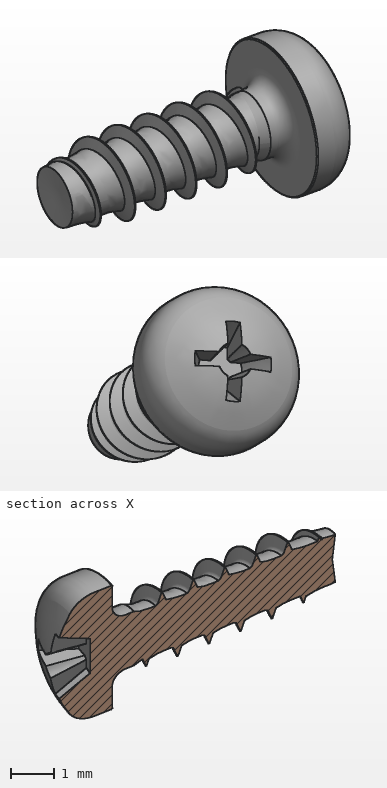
import cadquery as cq
import math


head_diameter = 3.9
head_radius = head_diameter / 2
head_edge_chamfer = 0.03
head_side_height = 0.5
shoulder_radius = 1.58
shoulder_height = 1.15
dome_radius = 3.03

wing_width = 0.35
wing_reach = 0.955
wing_draft = 26.5
core_mouth_radius = 0.425
core_floor_radius = 0.3
recess_floor_height = 0.605

neck_radius = 0.855
neck_fillet = 0.36
neck_length = 0.57

shank_length = 6.0
root_diameter = 1.52
root_radius = root_diameter / 2
thread_radius = 1.105
thread_pitch = 0.85
full_thread_start = 1.33
full_thread_turns = 4
lead_slope = 0.22
fade_slope = 0.28
neck_runout_length = 0.265

crest_half_width = 0.015
flank_slope = 0.34
head_foot_radius = 0.86
head_foot_middle = (0.79, -0.14)
head_foot_end = -0.19
ramp_start = (0.83, 0.075)
ramp_middle = (0.78, 0.33)
ramp_end = 0.62
root_overlap = 0.004
rib_base_radius = 0.605
spare_turns = 0.25

tip_radius = 0.75
tip_cone_start = 5.3
tip_cone_radius = 0.84
dimple_radius = 0.71
dimple_depth = 0.075


def dome_height(radius):
    """Height of the crown surface at a distance from the axis."""
    centre = shoulder_height - math.sqrt(dome_radius**2 - shoulder_radius**2)
    return centre + math.sqrt(dome_radius**2 - radius**2)


def revolve_about_y(outline):
    return outline.close().revolve(360, (0, 0, 0), (0, 1, 0))


def make_head():
    outline = (
        cq.Workplane("XY")
        .lineTo(head_radius - head_edge_chamfer, 0)
        .lineTo(head_radius, head_edge_chamfer)
        .lineTo(head_radius, head_side_height)
        .tangentArcPoint((shoulder_radius, shoulder_height), relative=False)
        .threePointArc(
            (shoulder_radius / 2, dome_height(shoulder_radius / 2)),
            (0, dome_height(0)),
        )
    )
    return revolve_about_y(outline)


def make_recess():
    apex = dome_height(0)
    wing_slope = math.tan(math.radians(wing_draft))
    wing_top_reach = wing_reach + (apex - dome_height(wing_reach)) * wing_slope
    wing_floor_reach = wing_top_reach - (apex - recess_floor_height) * wing_slope
    wing_limit = revolve_about_y(
        cq.Workplane("XY")
        .moveTo(0, recess_floor_height)
        .lineTo(wing_floor_reach, recess_floor_height)
        .lineTo(wing_top_reach, apex)
        .lineTo(0, apex)
    )
    bars = (
        cq.Workplane("XY")
        .box(2 * head_radius, 2 * apex, wing_width)
        .union(cq.Workplane("XY").box(wing_width, 2 * apex, 2 * head_radius))
    )
    core = revolve_about_y(
        cq.Workplane("XY")
        .moveTo(0, recess_floor_height)
        .lineTo(core_floor_radius, recess_floor_height)
        .lineTo(core_mouth_radius, dome_height(core_mouth_radius))
        .lineTo(core_mouth_radius, apex)
        .lineTo(0, apex)
    )
    return bars.intersect(wing_limit).union(core)


def make_neck():
    diagonal = neck_fillet * (1 - math.sqrt(0.5))
    outline = (
        cq.Workplane("XY")
        .lineTo(neck_radius + neck_fillet, 0)
        .threePointArc(
            (neck_radius + diagonal, -diagonal),
            (neck_radius, -neck_fillet),
        )
        .lineTo(neck_radius, -neck_length)
        .lineTo(root_radius - root_overlap, -neck_length - neck_runout_length)
        .lineTo(0, -neck_length - neck_runout_length)
    )
    return revolve_about_y(outline)


def straight_helix(turns):
    """Right-handed helix about Z that starts on the +X side."""
    return cq.Wire.makeHelix(thread_pitch, turns * thread_pitch, thread_radius)


def shrinking_helix(turns, slope):
    """The same helix, drawn in toward the axis by a slope per unit of height."""
    cone_angle = math.atan(slope)
    return cq.Wire.makeHelix(
        thread_pitch / math.cos(cone_angle),
        turns * thread_pitch,
        thread_radius,
        angle=-math.degrees(cone_angle),
    )


def sweep_rib(section, path, start):
    """Sweep a section along a helix about Z, then lay it along the shank with its start on +Z."""
    rib = section.sweep(cq.Workplane("XY").add(path), isFrenet=True)
    return (
        rib.rotate((0, 0, 0), (0, 0, 1), 90)
        .translate((0, 0, start))
        .rotate((0, 0, 0), (1, 0, 0), 90)
    )


def crest_section():
    foot = crest_half_width + flank_slope * (thread_radius - head_foot_radius)
    base = crest_half_width + flank_slope * (thread_radius - rib_base_radius)
    return (
        cq.Workplane("XZ")
        .moveTo(rib_base_radius, head_foot_end)
        .lineTo(root_radius - root_overlap, head_foot_end)
        .threePointArc(head_foot_middle, (head_foot_radius, -foot))
        .lineTo(thread_radius, -crest_half_width)
        .lineTo(thread_radius, crest_half_width)
        .lineTo(rib_base_radius, base)
        .close()
    )


def ramp_section():
    return (
        cq.Workplane("XZ")
        .moveTo(rib_base_radius, ramp_start[1])
        .lineTo(*ramp_start)
        .threePointArc(ramp_middle, (root_radius - root_overlap, ramp_end))
        .lineTo(rib_base_radius, ramp_end)
        .close()
    )


def make_root():
    """Shank core with the helical ramp, trimmed by a cone at the tip."""
    first_crest = full_thread_start - 2 * thread_pitch
    ramp_turns = (shank_length - first_crest) / thread_pitch + spare_turns
    ramp = sweep_rib(ramp_section(), straight_helix(ramp_turns), first_crest)
    overrun = shank_length / 2
    core = (
        cq.Workplane("XZ", origin=(0, overrun, 0))
        .circle(root_radius)
        .extrude(shank_length + 2 * overrun)
    )
    cone_slope = (tip_cone_radius - tip_radius) / (shank_length - tip_cone_start)
    limit_radius = 2 * root_radius
    limit_start = shank_length - (limit_radius - tip_radius) / cone_slope
    limit = revolve_about_y(
        cq.Workplane("XY")
        .lineTo(limit_radius, 0)
        .lineTo(limit_radius, -limit_start)
        .lineTo(tip_radius, -shank_length)
        .lineTo(0, -shank_length)
    )
    return core.union(ramp, clean=False).intersect(limit, clean=False)


def make_shank():
    full_thread_end = full_thread_start + full_thread_turns * thread_pitch
    full = sweep_rib(crest_section(), straight_helix(full_thread_turns), full_thread_start)

    fade_turns = (shank_length - full_thread_end) / thread_pitch + spare_turns
    fade = sweep_rib(crest_section(), shrinking_helix(fade_turns, fade_slope), full_thread_end)

    lead_turns = (full_thread_start - neck_length) / thread_pitch + spare_turns
    lead_path = shrinking_helix(lead_turns, lead_slope).rotate(
        cq.Vector(0, 0, 0), cq.Vector(1, 0, 0), 180
    )
    lead = sweep_rib(crest_section(), lead_path, full_thread_start)

    ends = revolve_about_y(
        cq.Workplane("XY")
        .moveTo(0, -neck_length)
        .lineTo(head_radius, -neck_length)
        .lineTo(head_radius, -shank_length)
        .lineTo(dimple_radius, -shank_length)
        .lineTo(0, -shank_length + dimple_depth)
    )
    shank = make_root()
    for rib in (full, lead, fade):
        shank = shank.union(rib, clean=False)
    return shank.intersect(ends, clean=False)


body = make_head().cut(make_recess()).union(make_neck())
result = body.union(make_shank(), clean=False).solids()